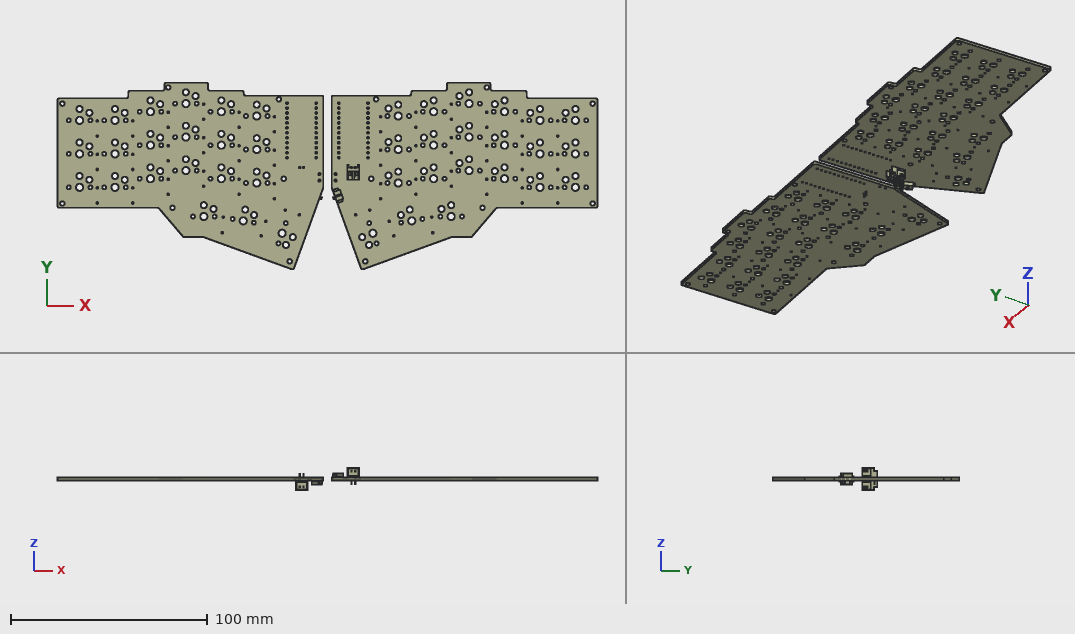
import cadquery as cq
import math


overall_height = 11.2

board_thickness = 1.6
board_top = board_thickness / 2
corner_radius = 1.0
inner_x = 2.05
outer_x = 137.2
bottom_y = -16.2
thumb_bottom_y = -31.0
tip_y = -47.7
tip_x = 17.3
thumb_tilt = 20.0
inner_edge_end_y = tip_y + (tip_x - inner_x) / math.tan(math.radians(thumb_tilt))
thumb_flat_inner_x = tip_x + (thumb_bottom_y - tip_y) / math.tan(math.radians(thumb_tilt))
thumb_flat_outer_x = 73.3
slant_top_x = 86.0
controller_top_y = 41.0
ring_top_y = 43.4
middle_top_y = 47.5
pinky_top_y = 39.5
index_step_x = 42.5
middle_inner_x = 60.6
middle_outer_x = 82.9
pinky_step_x = 101.2

column_count = 6
row_pitch = 17.0
row_count = 3
inner_column_x = 36.0
outer_column_x = 126.0
column_pitch = (outer_column_x - inner_column_x) / (column_count - 1)
column_top_y = [30.5, 32.7, 36.8, 32.7, 28.3, 28.3]
thumb_keys = [(62.8, -20.5, 0.0), (42.8, -22.8, thumb_tilt / 2), (23.0, -29.0, 90 + thumb_tilt)]

stem_diameter = 3.5
contact_diameter = 3.0
peg_diameter = 1.9
peg_offset = 5.5
contact_offsets = [(0.0, 5.8), (-5.0, 3.8)]

diode_diameter = 0.8
diode_pitch = 7.7
diode_side_offset = column_pitch / 2
diode_drop = 0.3
thumb_diode_leads = [
    (53.0, -20.9), (53.5, -28.8),
    (31.3, -23.0), (33.7, -30.5),
    (21.5, -17.3), (14.3, -19.8),
]

header_diameter = 0.85
header_pin_count = 12
header_length = 27.7
header_pitch = header_length / (header_pin_count - 1)
header_columns_x = [5.8, 20.5]
header_top_y = 37.0
reset_diameter = 1.0
reset_holes = [(4.0, 0.95), (4.0, -2.33)]
mount_diameter = 2.2
mount_holes = [
    (134.7, 36.8), (134.7, -14.0), (81.0, 45.0), (24.7, 39.0),
    (78.7, -16.2), (22.2, -1.5), (19.2, -43.4),
]

connector_x = 13.2
connector_front_y = -2.0
connector_width = 6.0
connector_height = overall_height / 2 - board_top
connector_depth = 6.0
ear_width = 0.7
ear_length = 1.6
ear_height = 3.3
mouth_wall = 0.5
mouth_height = 3.5
mouth_depth = 4.5
roof_slot_width = 1.0
roof_window_width = 1.0
roof_window_length = 1.6
roof_window_setback = 2.2
roof_window_spacing = 3.5
side_slot_height = 0.5
side_slot_length = 2.7
side_slot_drop = 1.5
pin_thickness = 0.45
pin_spacing = 2.0
pin_drop = 1.7
pin_stickout = 2.0
pin_length = 5.0
pin_hole_diameter = 0.75
pin_y = connector_front_y + connector_depth + pin_thickness / 2
pins_x = [connector_x - pin_spacing / 2, connector_x + pin_spacing / 2]

switch_x = 5.5
switch_y = -10.0
switch_length = 5.0
switch_width = 3.5
switch_height = 2.09
tab_span = 7.0
tab_width = 2.2
tab_thickness = 0.5
roof_recess_length = 2.2
roof_recess_width = 0.69
roof_recess_depth = 0.3
knob_length = 1.0
knob_reach = 1.0
knob_height = 1.0
knob_base = 0.5
knob_shift = 0.5


def turned(point, angle):
    """Rotate a flat point about the origin by an angle in degrees."""
    x, y = point
    c = math.cos(math.radians(angle))
    s = math.sin(math.radians(angle))
    return (x * c - y * s, x * s + y * c)


def drill(board, points, diameter):
    return board.cut(
        cq.Workplane("XY").workplane(offset=-board_top).pushPoints(points).circle(diameter / 2)
        .extrude(board_thickness)
    )


def make_board():
    board = (
        cq.Workplane("XY").workplane(offset=-board_top)
        .polyline([
            (inner_x, controller_top_y), (index_step_x, controller_top_y),
            (index_step_x, ring_top_y), (middle_inner_x, ring_top_y),
            (middle_inner_x, middle_top_y), (middle_outer_x, middle_top_y),
            (middle_outer_x, ring_top_y), (pinky_step_x, ring_top_y),
            (pinky_step_x, pinky_top_y), (outer_x, pinky_top_y),
            (outer_x, bottom_y), (slant_top_x, bottom_y),
            (thumb_flat_outer_x, thumb_bottom_y), (thumb_flat_inner_x, thumb_bottom_y),
            (tip_x, tip_y), (inner_x, inner_edge_end_y),
        ])
        .close().extrude(board_thickness)
        .edges("|Z").fillet(corner_radius)
    )
    finger_keys = [
        (inner_column_x + column * column_pitch, top_y - row * row_pitch)
        for column, top_y in enumerate(column_top_y)
        for row in range(row_count)
    ]
    keys = [(x, y, 0.0) for x, y in finger_keys]
    keys += thumb_keys

    def around_keys(offsets):
        placed = []
        for x, y, turn in keys:
            for offset in offsets:
                dx, dy = turned(offset, turn)
                placed.append((x + dx, y + dy))
        return placed

    diode_leads = [
        (x - diode_side_offset, y - diode_drop - lead * diode_pitch)
        for x, y in finger_keys for lead in range(2)
    ]
    header_pins = [
        (x, header_top_y - pin * header_pitch)
        for x in header_columns_x for pin in range(header_pin_count)
    ]
    board = drill(board, around_keys([(0.0, 0.0)]), stem_diameter)
    board = drill(board, around_keys(contact_offsets), contact_diameter)
    board = drill(board, around_keys([(-peg_offset, 0.0), (peg_offset, 0.0)]), peg_diameter)
    board = drill(board, diode_leads + thumb_diode_leads, diode_diameter)
    board = drill(board, header_pins, header_diameter)
    board = drill(board, reset_holes, reset_diameter)
    board = drill(board, mount_holes, mount_diameter)
    return drill(board, [(x, pin_y) for x in pins_x], pin_hole_diameter)


def block(x_range, y_range, z_range):
    """A box between two limits along each axis."""
    size = [high - low for low, high in (x_range, y_range, z_range)]
    corner = (x_range[0], y_range[0], z_range[0])
    return cq.Workplane("XY").box(*size, centered=False).translate(corner)


def make_connector():
    left = connector_x - connector_width / 2
    right = connector_x + connector_width / 2
    front = connector_front_y
    back = front + connector_depth
    roof = board_top + connector_height
    roof_wall = (roof - mouth_wall, roof)

    body = block((left, right), (front, back), (board_top, roof))
    body = body.cut(block(
        (left + mouth_wall, right - mouth_wall),
        (front, front + mouth_depth),
        (roof - mouth_wall - mouth_height, roof - mouth_wall),
    ))

    half_slot = roof_slot_width / 2
    body = body.cut(block(
        (connector_x - half_slot, connector_x + half_slot), (front, front + mouth_depth), roof_wall
    ))
    window_start = front + roof_window_setback
    for side in (-1, 1):
        window_x = connector_x + side * roof_window_spacing / 2
        body = body.cut(block(
            (window_x - roof_window_width / 2, window_x + roof_window_width / 2),
            (window_start, window_start + roof_window_length),
            roof_wall,
        ))

    side_slot_top = roof - side_slot_drop
    body = body.cut(block(
        (left, right),
        (front, front + side_slot_length),
        (side_slot_top - side_slot_height, side_slot_top),
    ))

    for ear in ((left, left + ear_width), (right - ear_width, right)):
        body = body.union(block(ear, (back, back + ear_length), (board_top, board_top + ear_height)))

    half_pin = pin_thickness / 2
    pin_top = roof - pin_drop + half_pin
    pin_back = pin_y + half_pin
    for x in pins_x:
        sides = (x - half_pin, x + half_pin)
        contact_leg = block(sides, (pin_back - pin_length, pin_back), (pin_top - pin_thickness, pin_top))
        board_leg = block(
            sides, (pin_back - pin_thickness, pin_back), (-board_top - pin_stickout, pin_top)
        )
        body = body.union(contact_leg).union(board_leg)
    return body


def make_switch():
    standing_on_base = (True, True, False)
    switch = cq.Workplane("XY").box(
        switch_width, switch_length, switch_height, centered=standing_on_base
    )
    recess = cq.Workplane("XY").box(
        roof_recess_length, roof_recess_width, roof_recess_depth, centered=standing_on_base
    )
    switch = switch.cut(recess.translate((0, 0, switch_height - roof_recess_depth)))
    tabs = cq.Workplane("XY").box(tab_width, tab_span, tab_thickness, centered=standing_on_base)
    switch = switch.union(tabs)
    face_x = -switch_width / 2
    switch = switch.union(block(
        (face_x - knob_reach, face_x),
        (-knob_shift - knob_length / 2, -knob_shift + knob_length / 2),
        (knob_base, knob_base + knob_height),
    ))
    switch = switch.rotate((0, 0, 0), (0, 0, 1), thumb_tilt)
    return switch.translate((switch_x, switch_y, board_top))


right_half = [make_board(), make_connector(), make_switch()]
left_half = [body.rotate((0, 0, 0), (0, 1, 0), 180) for body in right_half]
result = cq.Compound.makeCompound([body.val() for body in right_half + left_half])